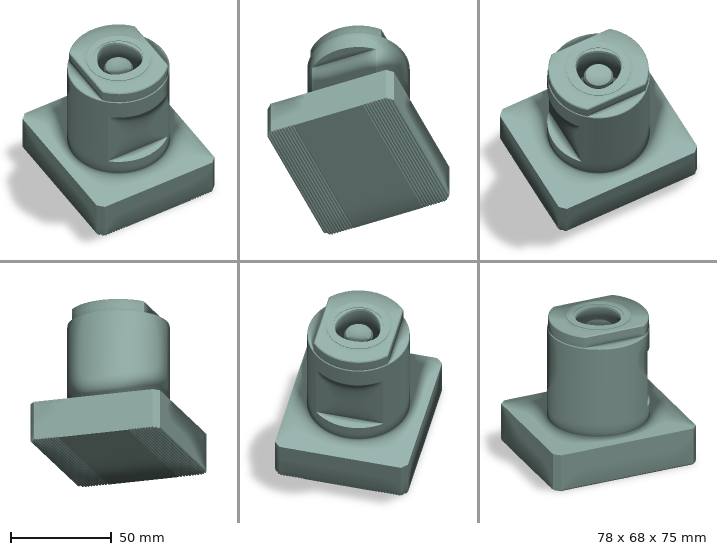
import cadquery as cq
import math

BASE_LENGTH = 78.0
BASE_WIDTH = 68.0
BASE_HEIGHT = 20.0
BASE_CORNER = 3.0

GROOVE_ROW_SPAN = 15.0
GROOVE_WIDTH = 0.9
GROOVE_DEPTH = 0.6
GROOVES_PER_SIDE = 11
GROOVE_PITCH = GROOVE_ROW_SPAN / (GROOVES_PER_SIDE - 1)

BODY_DIAMETER = 51.0
BODY_TOP = 68.8
BODY_TOP_CHAMFER = 0.3
BODY_FOOT_FILLET = 0.5

NOTCH_X = 18.9
NOTCH_BOTTOM = 28.0
NOTCH_TOP = 58.6

TOTAL_HEIGHT = 75.0
RING_HEIGHT = 0.3
RING_OUTER_DIAMETER = 32.0
RING_INNER_DIAMETER = 25.2
CAP_DIAMETER = 50.1
CAP_ACROSS_FLATS = 38.0
CAP_CHAMFER = 0.5
CAP_TOP = TOTAL_HEIGHT - RING_HEIGHT

SOCKET_RADIUS = 11.4
SOCKET_LOBE = 0.6
SOCKET_CURVE_POINTS = 48
SOCKET_DEPTH = 18.7
SOCKET_TAPER = 1.4
SOCKET_CHAMFER_WIDTH = 0.4
SOCKET_CHAMFER_DEPTH = 1.0
SOCKET_FLOOR = CAP_TOP - SOCKET_DEPTH

POST_TOP = 69.6
POST_TOP_DIAMETER = 12.9
POST_BEVEL_DIAMETER = 13.2
POST_RIM_DIAMETER = 13.5
POST_DIAMETER = 14.7
POST_BEVEL_DEPTH = 0.15
POST_RIM_DEPTH = 0.8
POST_CONE_DEPTH = 1.55


def cylinder(diameter, bottom, top):
    """Upright cylinder on the Z axis between two heights."""
    return cq.Workplane("XY").workplane(offset=bottom).circle(diameter / 2).extrude(top - bottom)


def make_base():
    block = cq.Workplane("XY").box(BASE_LENGTH, BASE_WIDTH, BASE_HEIGHT, centered=(True, True, False))
    return block.edges("|Z").chamfer(BASE_CORNER)


def make_groove(y):
    """V-groove along the whole length of the base, with its apex at y."""
    return (
        cq.Workplane("YZ")
        .workplane(offset=-BASE_LENGTH / 2)
        .polyline([(y - GROOVE_WIDTH / 2, 0), (y, GROOVE_DEPTH), (y + GROOVE_WIDTH / 2, 0)])
        .close()
        .extrude(BASE_LENGTH)
    )


def cut_serrations(base):
    for index in range(GROOVES_PER_SIDE):
        y = BASE_WIDTH / 2 - index * GROOVE_PITCH
        base = base.cut(make_groove(y)).cut(make_groove(-y))
    return base


def make_body():
    """Revolved body with a chamfered top edge and a concave fillet at its foot."""
    radius = BODY_DIAMETER / 2
    foot_radius = radius + BODY_FOOT_FILLET
    arc_inset = BODY_FOOT_FILLET * math.sqrt(0.5)
    fillet_top = BASE_HEIGHT + BODY_FOOT_FILLET
    profile = (
        cq.Workplane("XZ")
        .moveTo(0, BASE_HEIGHT)
        .lineTo(foot_radius, BASE_HEIGHT)
        .threePointArc((foot_radius - arc_inset, fillet_top - arc_inset), (radius, fillet_top))
        .lineTo(radius, BODY_TOP - BODY_TOP_CHAMFER)
        .lineTo(radius - BODY_TOP_CHAMFER, BODY_TOP)
        .lineTo(0, BODY_TOP)
        .close()
    )
    return profile.revolve(360, (0, 0, 0), (0, 1, 0))


def make_notch():
    depth = BODY_DIAMETER / 2 - NOTCH_X
    return (
        cq.Workplane("XY")
        .box(depth, BODY_DIAMETER, NOTCH_TOP - NOTCH_BOTTOM, centered=(False, True, False))
        .translate((NOTCH_X, 0, NOTCH_BOTTOM))
    )


def make_cap():
    height = CAP_TOP - BODY_TOP
    flats = (
        cq.Workplane("XY")
        .workplane(offset=BODY_TOP)
        .rect(CAP_DIAMETER, CAP_ACROSS_FLATS)
        .extrude(height)
    )
    cap = cylinder(CAP_DIAMETER, BODY_TOP, CAP_TOP).intersect(flats)
    return cap.faces(">Z").chamfer(CAP_CHAMFER)


def make_ring():
    outer = cylinder(RING_OUTER_DIAMETER, CAP_TOP, TOTAL_HEIGHT)
    return outer.cut(cylinder(RING_INNER_DIAMETER, CAP_TOP, TOTAL_HEIGHT))


def lobed_point(radius, angle):
    x = radius * math.cos(angle) - SOCKET_LOBE * math.cos(2 * angle)
    y = radius * math.sin(angle) + SOCKET_LOBE * math.sin(2 * angle)
    return x, y


def lobed_section(workplane, radius):
    """Smooth closed three-lobed curve with one lobe pointing along -X."""
    step = 2 * math.pi / SOCKET_CURVE_POINTS
    points = [lobed_point(radius, index * step) for index in range(SOCKET_CURVE_POINTS)]
    return workplane.spline(points, periodic=True).close()


def lobed_frustum(bottom, bottom_radius, top, top_radius):
    lower = lobed_section(cq.Workplane("XY").workplane(offset=bottom), bottom_radius)
    upper = lobed_section(lower.workplane(offset=top - bottom), top_radius)
    return upper.loft(ruled=True)


def make_socket():
    chamfer_bottom = CAP_TOP - SOCKET_CHAMFER_DEPTH
    wall_radius = SOCKET_RADIUS - SOCKET_CHAMFER_WIDTH
    taper_inset = (chamfer_bottom - SOCKET_FLOOR) * math.tan(math.radians(SOCKET_TAPER))
    mouth = lobed_frustum(chamfer_bottom, wall_radius, CAP_TOP, SOCKET_RADIUS)
    bore = lobed_frustum(SOCKET_FLOOR, wall_radius - taper_inset, chamfer_bottom, wall_radius)
    return mouth.union(bore)


def make_post():
    """Revolved post with a bevelled, conical head."""
    profile = (
        cq.Workplane("XZ")
        .moveTo(0, SOCKET_FLOOR)
        .lineTo(POST_DIAMETER / 2, SOCKET_FLOOR)
        .lineTo(POST_DIAMETER / 2, POST_TOP - POST_CONE_DEPTH)
        .lineTo(POST_RIM_DIAMETER / 2, POST_TOP - POST_RIM_DEPTH)
        .lineTo(POST_BEVEL_DIAMETER / 2, POST_TOP - POST_BEVEL_DEPTH)
        .lineTo(POST_TOP_DIAMETER / 2, POST_TOP)
        .lineTo(0, POST_TOP)
        .close()
    )
    return profile.revolve(360, (0, 0, 0), (0, 1, 0))


base = cut_serrations(make_base())
body = make_body().cut(make_notch())
housing = base.union(body).union(make_cap()).union(make_ring())
result = housing.cut(make_socket()).union(make_post())